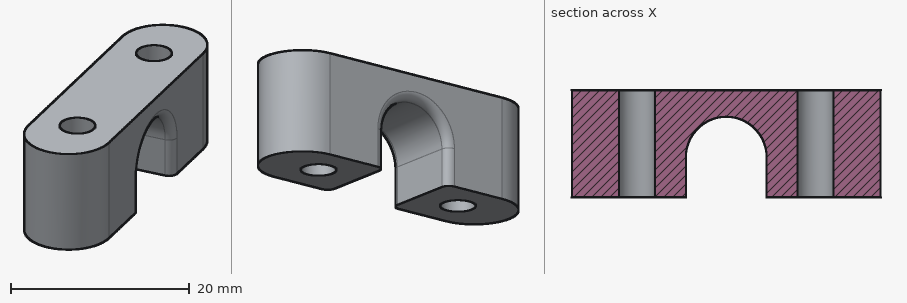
import cadquery as cq

width = 10.0
length = 34.64
height = 12.0

hole_diameter = 4.0
hole_spacing = 20.0

channel_width = 9.0
channel_radius = channel_width / 2
arch_center_height = 4.5
mouth_fillet = 1.0


def make_body():
    """Stadium-shaped block standing on Z = 0, long axis along Y."""
    return cq.Workplane("XY").slot2D(length, width, 90).extrude(height)


def make_channel():
    """Straight-walled channel with a semicircular roof, through the full width."""
    return (
        cq.Workplane("YZ")
        .moveTo(-channel_radius, 0)
        .lineTo(-channel_radius, arch_center_height)
        .threePointArc(
            (0, arch_center_height + channel_radius),
            (channel_radius, arch_center_height),
        )
        .lineTo(channel_radius, 0)
        .close()
        .extrude(width / 2, both=True)
    )


def round_channel_mouths(body):
    """Fillet the channel edges where they meet both flat side faces."""
    channel_top = arch_center_height + channel_radius
    tolerance = 0.1
    for side in (-1, 1):
        side_x = side * width / 2
        mouth_edges = cq.selectors.BoxSelector(
            (side_x - tolerance, -channel_radius - tolerance, tolerance),
            (side_x + tolerance, channel_radius + tolerance, channel_top + tolerance),
        )
        body = body.edges(mouth_edges).fillet(mouth_fillet)
    return body


def drill_screw_holes(body):
    """Drill the two through holes, one on each side of the channel."""
    return (
        body.faces(">Z")
        .workplane(origin=(0, 0, height))
        .pushPoints([(0, -hole_spacing / 2), (0, hole_spacing / 2)])
        .hole(hole_diameter)
    )


clamp = make_body().cut(make_channel())
clamp = round_channel_mouths(clamp)
result = drill_screw_holes(clamp)